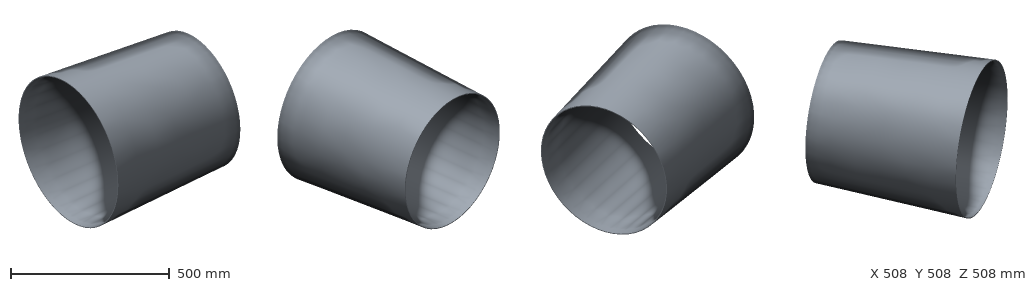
import cadquery as cq

length = 508.0
large_diameter = 508.0
small_diameter = 457.0
wall = 3.0

large_radius = large_diameter / 2
small_radius = small_diameter / 2
front_y = -length / 2
back_y = length / 2


def wall_profile():
    """Half section of the tapered wall, with X as the radius and Y as the axis."""
    return (
        cq.Workplane("XY")
        .moveTo(large_radius - wall, front_y)
        .lineTo(large_radius, front_y)
        .lineTo(small_radius, back_y)
        .lineTo(small_radius - wall, back_y)
        .close()
    )


result = wall_profile().revolve(360, (0, 0, 0), (0, 1, 0))